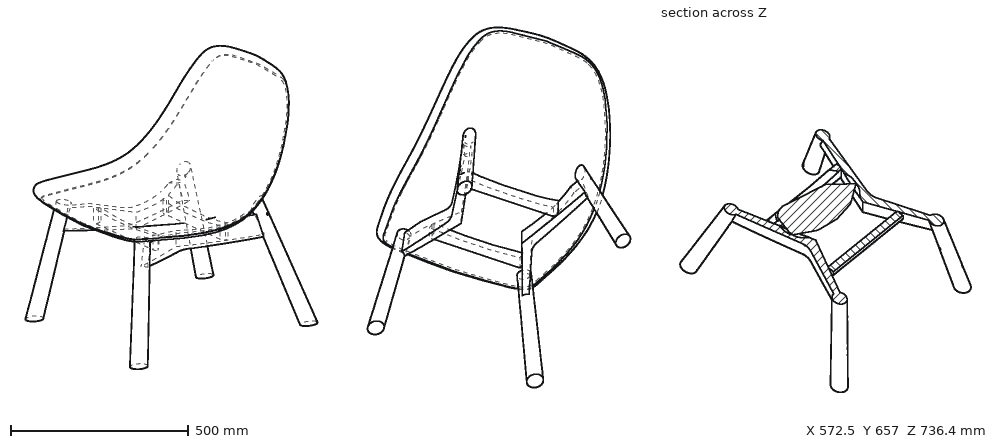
import cadquery as cq
import math


RIM_RADIUS = 18.0

RIM_STATIONS = [
    (0, -310.34, 379, 3),
    (75, -310.2, 381.5, 3),
    (150, -309.5, 387.5, 3),
    (200, -306.5, 391.5, 3),
    (226, -293, 392, 3),
    (236, -262, 391, 2),
    (248, -205, 386, -2),
    (261, -121, 380, -5),
    (268, -24, 380, 0),
    (266, 58, 400, 22),
    (255, 135, 459, 47),
    (241, 181, 523, 57),
    (223, 215, 589, 63),
    (190, 249, 665, 66),
    (159, 264, 700, 66),
    (130, 273.5, 710.5, 64),
    (70, 282.5, 716, 58),
    (0, 287, 718.46, 58),
]

TUBE_ANGLES = [122, 95, 70, 40, 5, -30, -60, -85]
GROOVE = (-4, -21)
SHELL_EDGE = (0, -26)

UNDERSIDE = [
    (-280, 346),
    (-205, 338),
    (-100, 313),
    (0, 301),
    (115, 312),
    (206, 352),
    (253, 450),
    (276, 523),
    (291, 620),
]
DISH = [
    (-205, 376),
    (-100, 355),
    (0, 345),
    (95, 358),
    (162, 394),
    (208, 468),
    (236, 537),
    (258, 632),
]
FLANK_WIDTH = 0.55
DISH_FLANK_DEPTH = 0.78
UNDERSIDE_FLANK_DEPTH = 0.85

LEG_TOP_Z = 400.0
FRONT_LEG_AXIS = ((247, -297), (179, -232))
REAR_LEG_AXIS = ((246, 300.4), (166, 160.5))
FRONT_LEG_OVALS = ((23, 27), (19, 23))
REAR_LEG_OVALS = ((19, 28), (17, 22))

RAIL_TOP_Z = 339.0
RAIL_END_Z = 270.0
RAIL_WAIST_Z = 263.0
RAIL_MID_Z = (RAIL_TOP_Z + RAIL_END_Z) / 2
RAIL_END_WIDTH = 20.0
WAIST_INNER_X = 94.0
WAIST_WIDTH = 32.0
WAIST_Y = -54.0
WAIST_RADIUS = 57.0

BEAM_THICKNESS = 24.0
BEAM_ROUND = 11.0
BEAM_REACH = 140.0
FRONT_BEAM_FACE_Y = -169.0
FRONT_BEAM_BOTTOM_Z = 287.0
REAR_BEAM_FACE_Y = 70.0
REAR_BEAM_BOTTOM_Z = 266.0


def rim_loop():
    """All the rim stations around the seat, right half first."""
    left = [(-x, y, z, pitch) for x, y, z, pitch in reversed(RIM_STATIONS[1:-1])]
    return RIM_STATIONS + left


def closed_curve(points):
    return cq.Edge.makeSpline(points, periodic=True)


def rim_frames():
    """Centre point, outward and upward direction at each rim station."""
    loop = rim_loop()
    points = [cq.Vector(x, y, z) for x, y, z, _ in loop]
    centre_line = closed_curve(points)
    frames = []
    for point, (_, _, _, pitch) in zip(points, loop):
        along = centre_line.tangentAt(centre_line.paramAt(point), mode="parameter")
        surface_up = cq.Vector(0, -math.sin(math.radians(pitch)), math.cos(math.radians(pitch)))
        up = (surface_up - along * surface_up.dot(along)).normalized()
        frames.append((point, along.cross(up), up))
    return frames


def rim_ring(frames, outwards, upwards):
    return closed_curve([p + out * outwards + up * upwards for p, out, up in frames])


def nearest_side_station(y, z):
    """The rim station on the side that is nearest to a point of the centre plane."""
    return min(RIM_STATIONS[5:-3], key=lambda s: math.hypot(s[1] - y, s[2] - z))


def dished_face(ring, profile, flank_depth):
    """Face spanning a closed ring and passing through a profile on the centre plane and its flanks."""
    points = []
    for y, z in profile:
        width, rim_y, rim_z, _ = nearest_side_station(y, z)
        points.append((0, y, z))
        for side in (-1, 1):
            flank_y = rim_y + flank_depth * (y - rim_y)
            flank_z = rim_z + flank_depth * (z - rim_z)
            points.append((side * FLANK_WIDTH * width, flank_y, flank_z))
    return cq.Face.makeNSidedSurface([ring], [cq.Vector(*p) for p in points])


def band(rings, ruled):
    wires = [cq.Wire.assembleEdges([ring]) for ring in rings]
    return cq.occ_impl.shapes.loft(*wires, ruled=ruled).Faces()


def make_seat():
    frames = rim_frames()
    tube = []
    for angle in map(math.radians, TUBE_ANGLES):
        tube.append(rim_ring(frames, RIM_RADIUS * math.cos(angle), RIM_RADIUS * math.sin(angle)))
    groove = rim_ring(frames, *GROOVE)
    shell_edge = rim_ring(frames, *SHELL_EDGE)

    faces = [
        dished_face(tube[0], DISH, DISH_FLANK_DEPTH),
        dished_face(shell_edge, UNDERSIDE, UNDERSIDE_FLANK_DEPTH),
    ]
    faces += band(tube, False)
    faces += band([tube[-1], groove], True)
    faces += band([groove, shell_edge], True)
    return cq.Solid.makeSolid(cq.Shell.makeShell(faces))


def largest_solid(shape):
    return max(shape.Solids(), key=lambda solid: solid.Volume())


def make_leg(axis, ovals):
    (foot_x, foot_y), (top_x, top_y) = axis
    foot_oval, top_oval = ovals
    return (
        cq.Workplane()
        .center(foot_x, foot_y)
        .ellipse(*foot_oval)
        .workplane(offset=LEG_TOP_Z)
        .center(top_x - foot_x, top_y - foot_y)
        .ellipse(*top_oval)
        .loft(ruled=True)
        .val()
    )


def axis_point(axis, z):
    """The (x, y) of a straight leg axis at height z."""
    foot, top = axis
    share = z / LEG_TOP_Z
    return foot[0] + share * (top[0] - foot[0]), foot[1] + share * (top[1] - foot[1])


def make_rail():
    front = axis_point(FRONT_LEG_AXIS, RAIL_MID_Z)
    rear = axis_point(REAR_LEG_AXIS, RAIL_MID_Z)
    waist_outer = (WAIST_INNER_X + WAIST_WIDTH, WAIST_Y)
    end_half = RAIL_END_WIDTH / 2
    plan_points = [
        (front[0] - end_half, front[1]),
        (WAIST_INNER_X, WAIST_Y),
        (rear[0] - end_half, rear[1]),
        (rear[0] + end_half, rear[1]),
        waist_outer,
        (front[0] + end_half, front[1]),
    ]
    plan = cq.Workplane().polyline(plan_points).close().extrude(RAIL_TOP_Z)
    outer_bend = cq.selectors.NearestToPointSelector((*waist_outer, RAIL_MID_Z))
    plan = plan.edges("|Z").edges(outer_bend).fillet(WAIST_RADIUS)
    outline = (
        cq.Workplane("YZ")
        .moveTo(front[1], RAIL_TOP_Z)
        .lineTo(front[1], RAIL_END_Z)
        .threePointArc((WAIST_Y, RAIL_WAIST_Z), (rear[1], RAIL_END_Z))
        .lineTo(rear[1], RAIL_TOP_Z)
        .close()
        .extrude(2 * front[0])
    )
    return plan.intersect(outline).val()


def make_side_frame(seat):
    """Front leg, rail and rear leg of the right side as one piece, trimmed by the seat."""
    frame = make_rail()
    for axis, ovals in ((FRONT_LEG_AXIS, FRONT_LEG_OVALS), (REAR_LEG_AXIS, REAR_LEG_OVALS)):
        frame = frame.fuse(make_leg(axis, ovals))
    return largest_solid(frame.cut(seat))


def make_beam(face_y, bottom_z, neighbours):
    """A beam with a rounded lower edge, trimmed by the rails and the seat."""
    beam = (
        cq.Workplane()
        .box(2 * BEAM_REACH, BEAM_THICKNESS, RAIL_TOP_Z - bottom_z, centered=(True, False, False))
        .edges("|X and <Z")
        .fillet(BEAM_ROUND)
        .translate((0, face_y, bottom_z))
        .val()
    )
    return largest_solid(beam.cut(*neighbours))


seat = make_seat()
right_frame = make_side_frame(seat)
side_frames = [right_frame, right_frame.mirror("YZ")]
beams = []
for face_y, bottom_z in ((FRONT_BEAM_FACE_Y, FRONT_BEAM_BOTTOM_Z), (REAR_BEAM_FACE_Y, REAR_BEAM_BOTTOM_Z)):
    beams.append(make_beam(face_y, bottom_z, [seat, *side_frames]))

result = cq.Compound.makeCompound([seat, *side_frames, *beams])